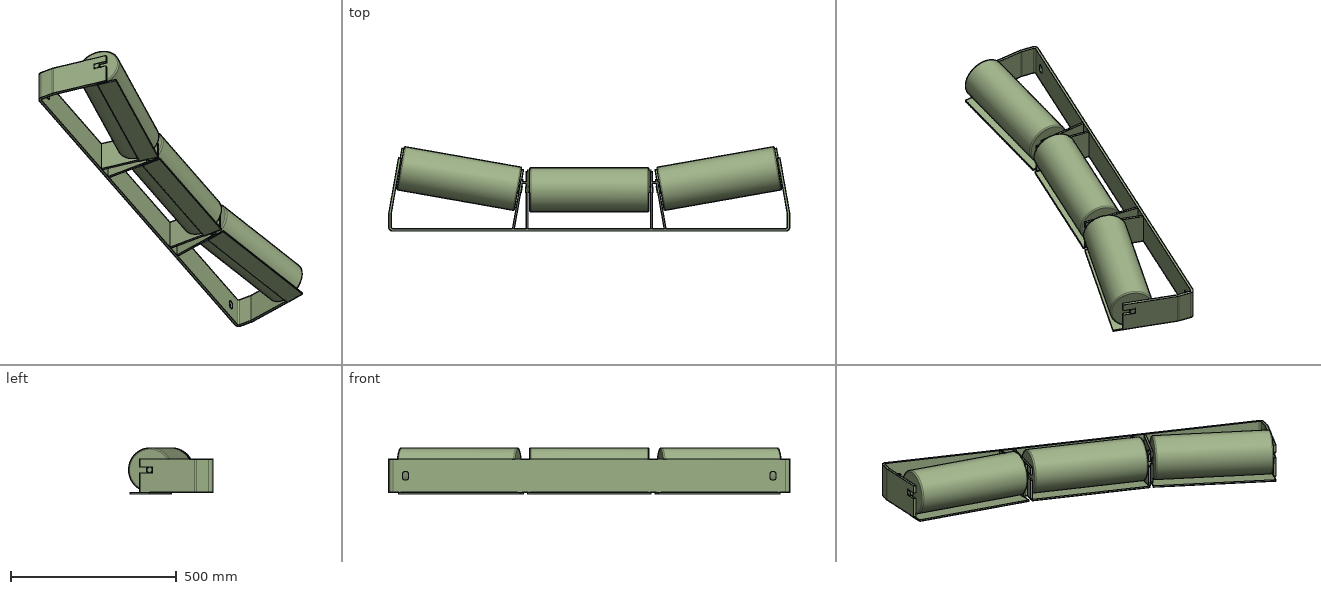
import cadquery as cq
import math

tilt = 10.0
frame_length = 1210.0
frame_height = 100.0
frame_plate = 8.0
corner_inner_radius = 5.0
bend_inner_radius = 20.0
bend_y = 53.0
arm_reach = 30.0

mount_hole_x = 554.0
mount_hole_width = 18.0
mount_hole_height = 26.0
mount_hole_corner = 7.5

roller_radius = 66.5
roller_length = 360.0
roller_end_fillet = 4.0
axis_z = 68.0
shaft_diameter = 18.0
shaft_half_length = 191.5

centre_roller_y = 125.0
wing_roller_y = 158.8

support_plate = 6.0
support_inner = 184.0
straight_reach = 55.0
tie_y = 146.5

guard_length = 373.0
guard_width = 60.0
guard_thickness = 5.0

tilt_radians = math.radians(tilt)
half_length = frame_length / 2
slot_length = 100.0

wing_roller_x = (half_length - (wing_roller_y - bend_y) * math.tan(tilt_radians)
                 - shaft_half_length / math.cos(tilt_radians))


def box(x_range, y_range, z_range):
    """Box spanning the given (low, high) ranges."""
    sizes = [high - low for low, high in (x_range, y_range, z_range)]
    corner = (x_range[0], y_range[0], z_range[0])
    return cq.Workplane("XY").box(*sizes, centered=False).translate(corner)


def at_centre(shape):
    """Move a shape modelled about a roller's middle to the centre roller."""
    return shape.translate((0, centre_roller_y, 0))


def at_wing(shape):
    """Move a shape modelled about a roller's middle to the right-hand wing roller."""
    return shape.rotate((0, 0, 0), (0, 0, 1), tilt).translate((wing_roller_x, wing_roller_y, 0))


def mirrored(shape):
    """Left-hand copy of a right-hand shape."""
    return shape.mirror("YZ")


def wing_point(along, across):
    """Plan position of a point given along and across the right wing roller's axis."""
    x = wing_roller_x + along * math.cos(tilt_radians) - across * math.sin(tilt_radians)
    y = wing_roller_y + along * math.sin(tilt_radians) + across * math.cos(tilt_radians)
    return (x, y)


def shaft_slots():
    """Slots open toward +Y that receive both shaft ends, about a roller's middle."""
    radius = shaft_diameter / 2
    return box((-2 * shaft_half_length, 2 * shaft_half_length), (-radius, slot_length),
               (axis_z - radius, axis_z + radius))


def make_frame():
    inner_x = half_length - frame_plate
    inner_bend_y = bend_y - frame_plate * math.tan(tilt_radians / 2)
    right_side = [
        (half_length, 0),
        (half_length, bend_y),
        wing_point(shaft_half_length, arm_reach),
        wing_point(shaft_half_length - frame_plate, arm_reach),
        (inner_x, inner_bend_y),
        (inner_x, frame_plate),
    ]
    left_side = [(-x, y) for x, y in reversed(right_side)]
    frame = cq.Workplane("XY").polyline(right_side + left_side).close().extrude(frame_height)

    rounded_corners = [
        (half_length, 0, corner_inner_radius + frame_plate),
        (inner_x, frame_plate, corner_inner_radius),
        (half_length, bend_y, bend_inner_radius + frame_plate),
        (inner_x, inner_bend_y, bend_inner_radius),
    ]
    for x, y, radius in rounded_corners:
        for side in (-1, 1):
            corner = cq.selectors.NearestToPointSelector((side * x, y, frame_height / 2))
            frame = frame.edges("|Z").edges(corner).fillet(radius)

    arm_side = box((wing_roller_x, half_length), (0, half_length), (0, frame_height))
    slots = at_wing(shaft_slots()).intersect(arm_side)
    holes = (cq.Workplane("XZ")
             .pushPoints([(-mount_hole_x, frame_height / 2), (mount_hole_x, frame_height / 2)])
             .rect(mount_hole_width, mount_hole_height).extrude(-frame_plate)
             .edges("|Y").fillet(mount_hole_corner))
    return frame.cut(slots).cut(mirrored(slots)).cut(holes)


def make_inner_support():
    full_height = (0, frame_height)
    support_outer = support_inner + support_plate
    below = -2 * wing_roller_y
    straight = box((support_inner, support_outer), (below, straight_reach), full_height)
    toed = box((-support_outer, -support_inner), (below, arm_reach), full_height)
    straight = at_centre(straight.cut(shaft_slots()))
    toed = at_wing(toed.cut(shaft_slots()))

    toed_middle = support_inner + support_plate / 2
    tie_end = (wing_roller_x - toed_middle / math.cos(tilt_radians)
               - (tie_y - wing_roller_y) * math.tan(tilt_radians))
    tie = box((support_outer, tie_end),
              (tie_y - support_plate / 2, tie_y + support_plate / 2),
              full_height)
    behind_frame = box((0, half_length), (frame_plate, half_length), full_height)
    return straight.union(toed).union(tie).intersect(behind_frame)


def make_roller():
    drum = (cq.Workplane("YZ", origin=(-roller_length / 2, 0, axis_z))
            .circle(roller_radius).extrude(roller_length)
            .faces("<X or >X").edges().fillet(roller_end_fillet))
    shaft = (cq.Workplane("YZ", origin=(-shaft_half_length, 0, axis_z))
             .circle(shaft_diameter / 2).extrude(2 * shaft_half_length))
    return drum.union(shaft)


def make_guard():
    return box((-guard_length / 2, guard_length / 2), (0, guard_width), (-guard_thickness, 0))


inner_support = make_inner_support()
bodies = [make_frame(), inner_support, mirrored(inner_support)]
for part in (make_roller(), make_guard()):
    wing_part = at_wing(part)
    bodies += [at_centre(part), wing_part, mirrored(wing_part)]

result = cq.Compound.makeCompound([body.val() for body in bodies])